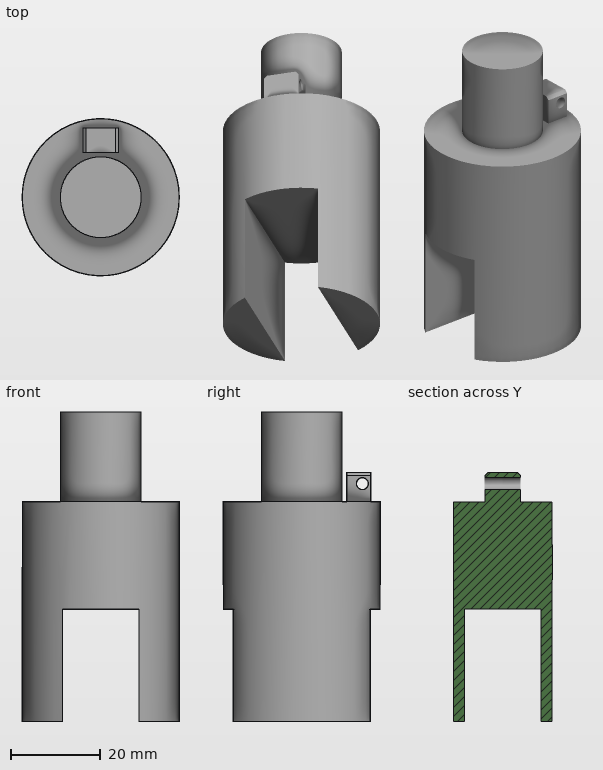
import cadquery as cq

body_diameter = 35.0
body_height = 49.0
shaft_diameter = 18.0
shaft_height = 20.0

slot_width = 17.0
slot_depth = 25.0

lug_length = 8.0
lug_width = 5.4
lug_height = 6.5
lug_front_y = 10.0
lug_chamfer = 0.7
lug_hole_diameter = 2.6
lug_hole_y = 13.5
lug_hole_height = 4.0


def make_body():
    """Round body with the slot running through its lower end along Y."""
    body = cq.Workplane("XY").circle(body_diameter / 2).extrude(body_height)
    slot = cq.Workplane("XY").rect(slot_width, body_diameter).extrude(slot_depth)
    return body.cut(slot)


def make_shaft():
    """Plain round shaft on top of the body."""
    top_face = cq.Workplane("XY").workplane(offset=body_height)
    return top_face.circle(shaft_diameter / 2).extrude(shaft_height)


def make_lug():
    """Block with chamfered top ends and a cross hole along X."""
    lug = (
        cq.Workplane("XY")
        .box(lug_length, lug_width, lug_height, centered=(True, False, False))
        .translate((0, lug_front_y, body_height))
        .faces(">Z")
        .edges("|Y")
        .chamfer(lug_chamfer)
    )
    hole = (
        cq.Workplane("YZ")
        .center(lug_hole_y, body_height + lug_hole_height)
        .circle(lug_hole_diameter / 2)
        .extrude(lug_length / 2, both=True)
    )
    return lug.cut(hole)


result = make_body().union(make_shaft()).union(make_lug())